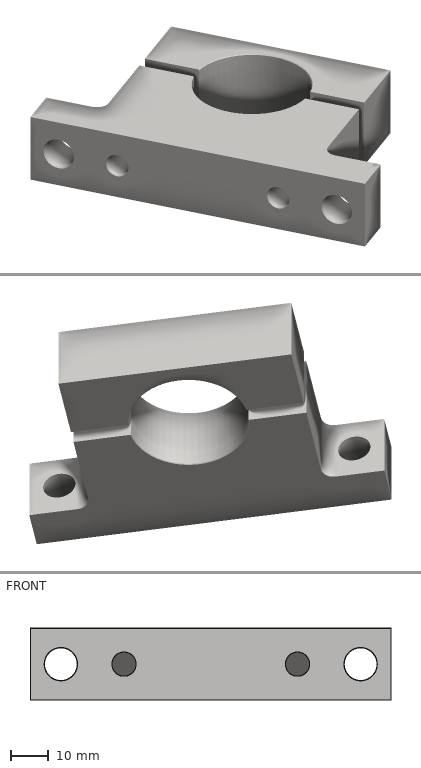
import cadquery as cq

base_length = 95.25
thickness = 19.05
overall_height = 58.7
clamp_width = 62.5
flange_height = 11.1
flange_fillet = 3.3

bore_height = 38.2
bore_diameter = 31.7
bore_chamfer = 0.2
gap = 3.8
base_top = bore_height - gap / 2
cap_bottom = bore_height + gap / 2

screw_spacing = 45.8
screw_diameter = 8.0
pilot_diameter = 6.4
screw_end = flange_height

mount_spacing = 79.2
mount_diameter = 8.7


def block(width, bottom, top):
    """Box centred on X and Z, spanning bottom to top along Y."""
    height = top - bottom
    return cq.Workplane("XY").box(width, height, thickness).translate((0, bottom + height / 2, 0))


def cylinder_along_y(x, diameter, bottom, top):
    """Round bar at the given X, spanning bottom to top along Y."""
    plane = cq.Plane(origin=(x, bottom, 0), xDir=(1, 0, 0), normal=(0, 1, 0))
    return cq.Workplane(plane).circle(diameter / 2).extrude(top - bottom)


def make_bore():
    """Bore cutter that widens into a small chamfer at both faces."""
    radius = bore_diameter / 2
    mouth_radius = radius + bore_chamfer
    half = thickness / 2
    chamfer_start = half - bore_chamfer
    profile = (
        cq.Workplane("XZ")
        .moveTo(0, -half)
        .lineTo(mouth_radius, -half)
        .lineTo(radius, -chamfer_start)
        .lineTo(radius, chamfer_start)
        .lineTo(mouth_radius, half)
        .lineTo(0, half)
        .close()
    )
    return profile.revolve(360, (0, 0), (0, 1)).translate((0, bore_height, 0))


def make_screw(side):
    """Plain shank from its seat in the base to the outer face of the cap."""
    return cylinder_along_y(side * screw_spacing / 2, screw_diameter, screw_end, overall_height)


def make_base():
    """Flanged lower half with bore, mounting holes, screw seats and pilot holes."""
    body = block(base_length, 0, flange_height).union(block(clamp_width, 0, base_top))
    for side in (-1, 1):
        corner = cq.selectors.NearestToPointSelector((side * clamp_width / 2, flange_height, 0))
        body = body.edges("|Z").edges(corner).fillet(flange_fillet)
    body = body.cut(make_bore())
    for side in (-1, 1):
        body = body.cut(cylinder_along_y(side * mount_spacing / 2, mount_diameter, 0, flange_height))
        body = body.cut(cylinder_along_y(side * screw_spacing / 2, pilot_diameter, 0, screw_end))
        body = body.cut(make_screw(side))
    return body


def make_cap():
    """Upper half with its share of the bore and the screw holes."""
    body = block(clamp_width, cap_bottom, overall_height).cut(make_bore())
    for side in (-1, 1):
        body = body.cut(make_screw(side))
    return body


base = make_base()
cap = make_cap()
screws = [make_screw(side) for side in (-1, 1)]

result = cq.Compound.makeCompound([base.solids().val(), cap.solids().val(), *[screw.val() for screw in screws]])